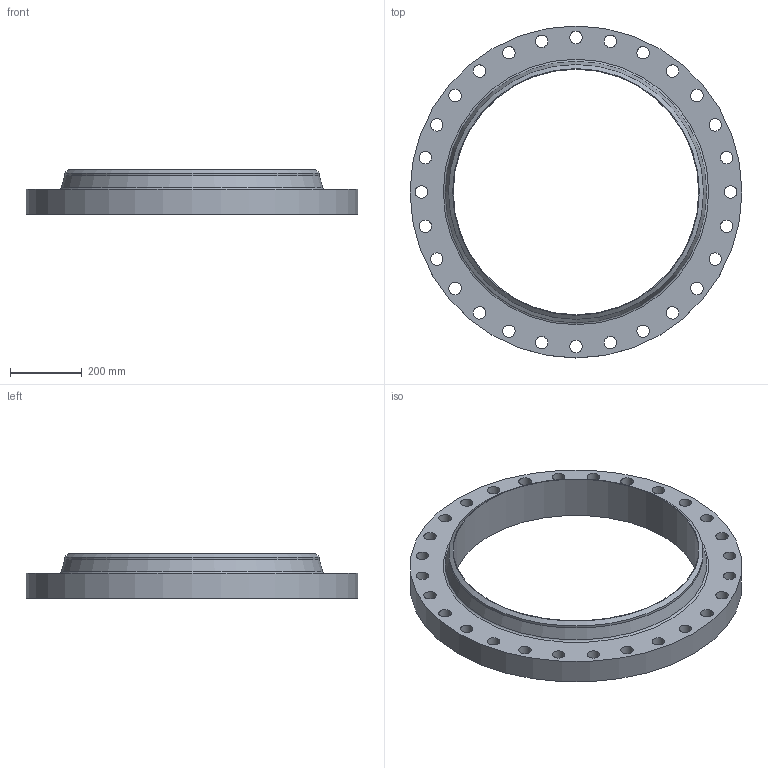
import cadquery as cq
import math

flange_diameter = 927.1
flange_thickness = 69.85
overall_height = 123.95
bore_diameter = 685.8
base_z = 0.0

hub_base_diameter = 732.0
neck_diameter = 711.2
hub_fillet_radius = 6.0
land_height = 7.0
root_face_width = 1.6
bevel_height = 9.0

bolt_count = 28
bolt_circle_diameter = 863.6
bolt_hole_diameter = 34.9

bore_radius = bore_diameter / 2
flange_radius = flange_diameter / 2
flange_top_z = base_z + flange_thickness
neck_top_z = base_z + overall_height
bevel_base_z = neck_top_z - bevel_height
land_base_z = bevel_base_z - land_height


def hub_fillet_points():
    """Start, middle and end of the arc joining the flange top to the hub taper."""
    base_radius = hub_base_diameter / 2
    taper_run = base_radius - neck_diameter / 2
    taper_rise = land_base_z - flange_top_z
    taper_angle = math.atan2(taper_run, taper_rise)
    corner_angle = math.pi / 2 + taper_angle
    tangent_length = hub_fillet_radius / math.tan(corner_angle / 2)

    center_r = base_radius + tangent_length
    center_z = flange_top_z + hub_fillet_radius
    half_sweep = (math.pi / 2 - taper_angle) / 2
    start = (center_r, flange_top_z)
    middle = (
        center_r - hub_fillet_radius * math.sin(half_sweep),
        center_z - hub_fillet_radius * math.cos(half_sweep),
    )
    end = (
        base_radius - tangent_length * math.sin(taper_angle),
        flange_top_z + tangent_length * math.cos(taper_angle),
    )
    return start, middle, end


def make_body():
    """Revolve the radial section of the flange and its neck about Z."""
    fillet_start, fillet_middle, fillet_end = hub_fillet_points()
    section = (
        cq.Workplane("XZ")
        .moveTo(bore_radius, base_z)
        .lineTo(flange_radius, base_z)
        .lineTo(flange_radius, flange_top_z)
        .lineTo(*fillet_start)
        .threePointArc(fillet_middle, fillet_end)
        .lineTo(neck_diameter / 2, land_base_z)
        .lineTo(neck_diameter / 2, bevel_base_z)
        .lineTo(bore_radius + root_face_width, neck_top_z)
        .lineTo(bore_radius, neck_top_z)
        .close()
    )
    return section.revolve(360, (0, 0, 0), (0, 1, 0))


def make_bolt_holes():
    """Cylinders through the flange, evenly spaced on the bolt circle."""
    return (
        cq.Workplane("XY", origin=(0, 0, base_z))
        .polarArray(bolt_circle_diameter / 2, 0, 360, bolt_count)
        .circle(bolt_hole_diameter / 2)
        .extrude(flange_thickness)
    )


result = make_body().cut(make_bolt_holes())